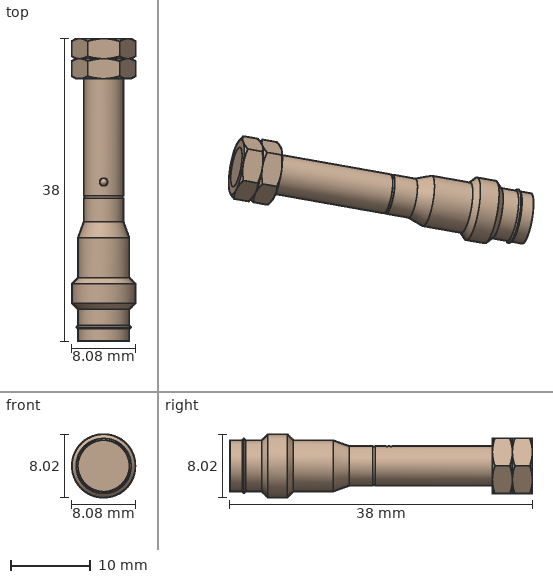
import cadquery as cq
import math

LENGTH = 38.0

STEM_RADIUS = 2.5
BARREL_RADIUS = 3.23
COLLAR_RADIUS = 4.01
RING_RADIUS = 3.45
GROOVE_DEPTH = 0.08

RING_CENTER = 1.75
RING_HALF_WIDTH = 0.23
COLLAR_START = 4.0
COLLAR_END = 7.98
COLLAR_CHAMFER = COLLAR_RADIUS - BARREL_RADIUS
TAPER_START = 13.0
TAPER_END = 15.0
GROOVE_START = 17.97
GROOVE_WIDTH = 0.25

DIMPLE_CENTER = 20.0
DIMPLE_RADIUS = 0.5
DIMPLE_DEPTH = DIMPLE_RADIUS

NUT_COUNT = 2
NUT_THICKNESS = 2.5
NUT_ACROSS_FLATS = 7.0
NUT_ACROSS_CORNERS = NUT_ACROSS_FLATS / math.cos(math.radians(30))
NUT_FACE_RADIUS = NUT_ACROSS_FLATS / 2
NUT_CHAMFER_ANGLE = 30.0


def make_shaft():
    """Turned shaft with collar, raised ring, taper, groove and dimple."""
    groove_end = GROOVE_START + GROOVE_WIDTH
    groove_radius = STEM_RADIUS - GROOVE_DEPTH
    profile = [
        (0, 0),
        (BARREL_RADIUS, 0),
        (BARREL_RADIUS, RING_CENTER - RING_HALF_WIDTH),
        (RING_RADIUS, RING_CENTER),
        (BARREL_RADIUS, RING_CENTER + RING_HALF_WIDTH),
        (BARREL_RADIUS, COLLAR_START),
        (COLLAR_RADIUS, COLLAR_START + COLLAR_CHAMFER),
        (COLLAR_RADIUS, COLLAR_END - COLLAR_CHAMFER),
        (BARREL_RADIUS, COLLAR_END),
        (BARREL_RADIUS, TAPER_START),
        (STEM_RADIUS, TAPER_END),
        (STEM_RADIUS, GROOVE_START),
        (groove_radius, GROOVE_START),
        (groove_radius, groove_end),
        (STEM_RADIUS, groove_end),
        (STEM_RADIUS, LENGTH),
        (0, LENGTH),
    ]
    turned = cq.Workplane("XY").polyline(profile).close().revolve(360, (0, 0, 0), (0, 1, 0))
    return turned.cut(make_dimple())


def make_dimple():
    """Round blind hole in the top of the stem, with its floor domed upward."""
    floor_center = cq.Vector(0, DIMPLE_CENTER, STEM_RADIUS - DIMPLE_DEPTH)
    upward = cq.Vector(0, 0, 1)
    hole = cq.Solid.makeCylinder(DIMPLE_RADIUS, DIMPLE_DEPTH, floor_center, upward)
    dome = cq.Workplane("XY").sphere(DIMPLE_RADIUS).translate(floor_center)
    return cq.Workplane(hole).cut(dome)


def make_nut(start):
    """Hexagonal nut from Y = start, chamfered on both faces and bored for the stem."""
    end = start + NUT_THICKNESS
    corner_radius = NUT_ACROSS_CORNERS / 2
    chamfer_depth = (corner_radius - NUT_FACE_RADIUS) * math.tan(math.radians(NUT_CHAMFER_ANGLE))
    hexagon = (
        cq.Workplane("XZ", origin=(0, start, 0))
        .polygon(6, NUT_ACROSS_CORNERS)
        .extrude(-NUT_THICKNESS)
    )
    envelope_profile = [
        (STEM_RADIUS, start),
        (NUT_FACE_RADIUS, start),
        (corner_radius, start + chamfer_depth),
        (corner_radius, end - chamfer_depth),
        (NUT_FACE_RADIUS, end),
        (STEM_RADIUS, end),
    ]
    envelope = cq.Workplane("XY").polyline(envelope_profile).close().revolve(360, (0, 0, 0), (0, 1, 0))
    return hexagon.intersect(envelope)


shaft = make_shaft()
nuts = [make_nut(LENGTH - (index + 1) * NUT_THICKNESS) for index in range(NUT_COUNT)]

result = cq.Compound.makeCompound([shaft.val(), *[nut.val() for nut in nuts]])